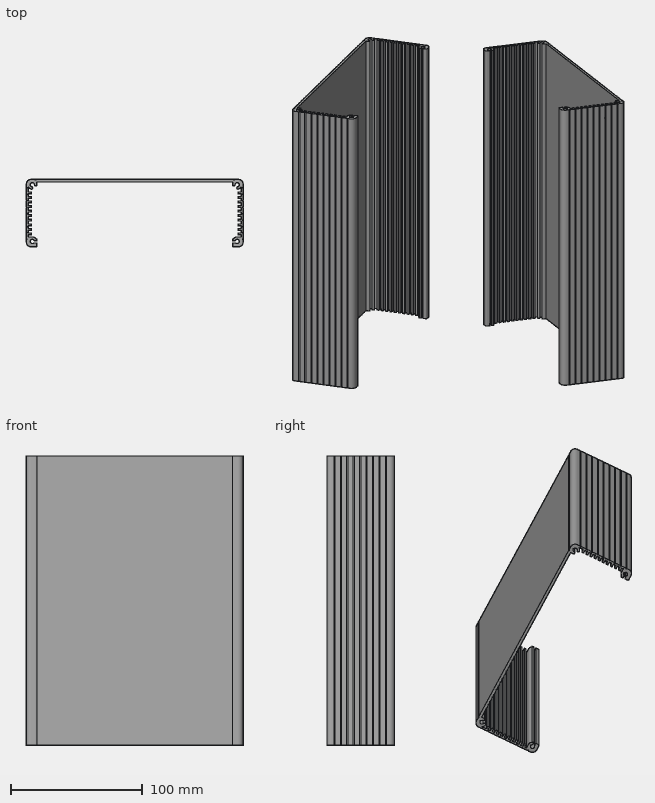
import cadquery as cq
import math

length = 220.0
width = 165.0
depth = 51.5

back_thickness = 2.2
wall_thickness = 1.5
corner_radius = 3.7

channel_radius = 1.5
boss_radius = 3.5
channel_from_side = 4.6
channel_from_end = 4.2
ring_width = boss_radius - channel_radius
ring_middle = channel_radius + ring_width / 2

prong_setback = 0.7

lip_reach = channel_from_side + boss_radius
slot_bottom = 3.0
slot_top = 4.6
upper_lip_top = 6.2
lip_round = 0.9

fin_count = 10
fin_width = 1.5
fin_tip = 4.0
first_fin = 10.3
last_fin = 41.5
fin_pitch = (last_fin - first_fin) / (fin_count - 1)

groove_count = 9
groove_radius = 0.5
first_groove = 6.5
last_groove = 45.8
groove_pitch = (last_groove - first_groove) / (groove_count - 1)
back_groove = 7.0

front = -depth
middle_plane = width / 2


def block(x_start, x_end, y_start, y_end):
    """Full-length bar spanning the given X and Y ranges."""
    bar = cq.Workplane("XY").box(x_end - x_start, y_end - y_start, length, centered=False)
    return bar.translate((x_start, y_start, 0))


def rod(x, y, radius):
    """Full-length round bar centred on the given point."""
    return cq.Workplane("XY").center(x, y).circle(radius).extrude(length)


def rounded_envelope():
    """Left half of the outer block with its two outer corners rounded."""
    return block(0, middle_plane, front, 0).edges("|Z and <X").fillet(corner_radius)


def back_channel():
    """Open ring in the back corner, ending in two round-tipped prongs."""
    x, y = channel_from_side, -channel_from_end
    straight_side = block(x, x + boss_radius, y, 0)
    ring = block(0, x, y, 0).union(straight_side).union(rod(x, y, boss_radius))
    opening = block(x - prong_setback, x + boss_radius, y - boss_radius, y)
    ring = ring.cut(rod(x, y, channel_radius)).cut(opening)
    right_tip = rod(x + ring_middle, y, ring_width / 2)
    lower_drop = math.sqrt(ring_middle**2 - prong_setback**2)
    lower_tip = rod(x - prong_setback, y - lower_drop, ring_width / 2)
    return ring.union(right_tip).union(lower_tip)


def front_channel():
    """Solid front corner with a round channel slotted toward the interior."""
    x, y = channel_from_side, front + channel_from_end
    lower_lip = block(0, lip_reach, front, front + slot_bottom)
    lower_lip = lower_lip.edges("|Z and >X and <Y").fillet(lip_round)
    upper_lip = block(x, lip_reach, front + slot_top, front + upper_lip_top)
    corner = block(0, x, front, y + boss_radius)
    upper_boss = rod(x, y, boss_radius).cut(block(0, middle_plane, front, front + slot_bottom))
    solid = corner.union(lower_lip).union(upper_lip).union(upper_boss)
    slot = block(x, middle_plane, front + slot_bottom, front + slot_top)
    return solid.cut(slot).cut(rod(x, y, channel_radius))


def finned_wall():
    """Side wall with a row of straight fins on its inner face."""
    wall = block(0, wall_thickness, front, 0)
    for index in range(fin_count):
        center = -first_fin - index * fin_pitch
        wall = wall.union(block(0, fin_tip, center - fin_width / 2, center + fin_width / 2))
    return wall


def outer_grooves():
    """Cutters for the side grooves and the single groove in the back."""
    cutters = rod(back_groove, 0, groove_radius)
    for index in range(groove_count):
        cutters = cutters.union(rod(0, -first_groove - index * groove_pitch, groove_radius))
    return cutters


back = block(0, middle_plane, -back_thickness, 0)
half = back.union(finned_wall()).union(back_channel()).union(front_channel())
half = half.intersect(rounded_envelope()).cut(outer_grooves())

half = half.translate((-width / 2, depth / 2, -length / 2))
result = half.union(half.mirror("YZ"))